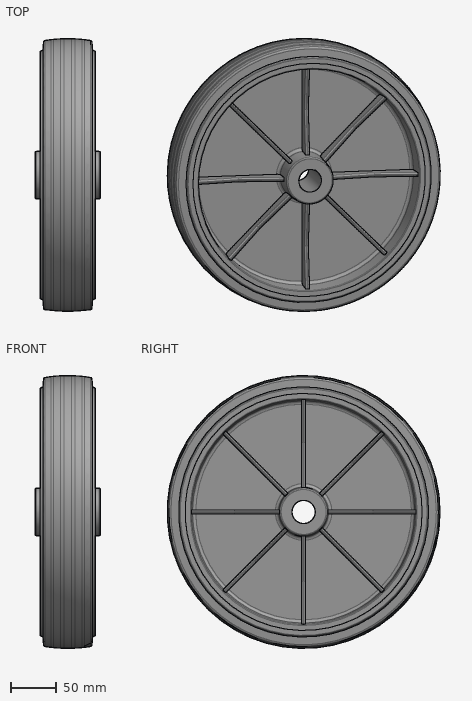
import cadquery as cq
import math


outer_radius = 150.5
hub_length = 72.0
tyre_bore_radius = 130.5
rim_width = 60.8

crown_radius = 156.5
tread_band_edges = [4.2, 7.8, 16.0, 18.7]
tyre_width = 53.5
tyre_corner_fillet = 2.5
side_foot_width = 54.8
lip_foot_radius = 137.8
lip_radius = 136.5
lip_fillet = 1.0

rim_inner_radius = 124.3
rim_root_radius = 122.2
web_thickness = 3.5
web_fillet = 3.5
rim_edge_fillet = 1.0

hub_radius = 26.2
hub_root_radius = 27.7
hub_edge_fillet = 1.5
bore_radius = 12.5

rib_count = 8
rib_thickness = 4.5
rib_ridge_fillet = 1.8
rib_waist_radius = 76.5
rib_waist_height = 16.2
rib_end_height = 23.5
rib_inner_radius = 24.0
rib_outer_radius = 125.8


def mirrored(half_profile):
    """Closed list of (x, radius) points: the half profile and its mirror image in X."""
    return half_profile + [(-x, r) for x, r in reversed(half_profile)]


def spin(sketch):
    """Revolve a sketch drawn as (x, radius) about the X axis."""
    return sketch.close().revolve(360, (0, 0, 0), (1, 0, 0))


def circles_near(body, x, radius):
    """Circular edges of a body at +x and -x with the given radius."""
    tolerance = 0.03
    edges = [
        edge
        for edge in body.edges("%CIRCLE").vals()
        if abs(edge.radius() - radius) < tolerance and abs(abs(edge.Center().x) - x) < tolerance
    ]
    return body.newObject(edges)


def tread_point(x):
    """Point on the crowned tread at distance x from the mid-plane."""
    return (x, outer_radius - crown_radius + math.sqrt(crown_radius**2 - x**2))


def make_tyre():
    half_width = tyre_width / 2
    half_rim = rim_width / 2
    half_foot = side_foot_width / 2

    band_edges = [-x for x in reversed(tread_band_edges)] + tread_band_edges + [half_width]
    sketch = cq.Workplane("XY").moveTo(*tread_point(-half_width))
    start = -half_width
    for end in band_edges:
        sketch = sketch.threePointArc(tread_point((start + end) / 2), tread_point(end))
        start = end

    side = [(half_foot, lip_foot_radius), (half_rim, lip_radius), (half_rim, tyre_bore_radius)]
    for point in mirrored(side):
        sketch = sketch.lineTo(*point)

    tyre = spin(sketch)
    tyre = circles_near(tyre, *tread_point(half_width)).fillet(tyre_corner_fillet)
    return circles_near(tyre, half_rim, lip_radius).fillet(lip_fillet)


def make_rib_pair():
    """Rib along +Y on both faces of the web, lowest at its waist."""
    ridge = [
        (rib_end_height, rib_inner_radius),
        (rib_waist_height, rib_waist_radius),
        (rib_end_height, rib_outer_radius),
    ]
    plate = cq.Workplane("XY").polyline(mirrored(ridge)).close()
    plate = plate.extrude(rib_thickness / 2, both=True)
    ridge_edges = plate.faces("<Z or >Z").edges("not |X")
    return ridge_edges.fillet(rib_ridge_fillet)


def make_wheel():
    half_rim = rim_width / 2
    half_web = web_thickness / 2
    half_hub = hub_length / 2

    half_profile = [
        (half_rim, tyre_bore_radius),
        (half_rim, rim_inner_radius),
        (half_web, rim_root_radius),
        (half_web, hub_root_radius),
        (half_hub, hub_radius),
        (half_hub, bore_radius),
    ]
    wheel = spin(cq.Workplane("XY").polyline(mirrored(half_profile)))
    wheel = circles_near(wheel, half_rim, rim_inner_radius).fillet(rim_edge_fillet)
    wheel = circles_near(wheel, half_web, rim_root_radius).fillet(web_fillet)
    wheel = circles_near(wheel, half_web, hub_root_radius).fillet(web_fillet)
    wheel = circles_near(wheel, half_hub, hub_radius).fillet(hub_edge_fillet)

    rib_pair = make_rib_pair()
    for i in range(rib_count):
        wheel = wheel.union(rib_pair.rotate((0, 0, 0), (1, 0, 0), i * 360 / rib_count))
    return wheel


tyre = make_tyre()
wheel = make_wheel()

result = cq.Compound.makeCompound([tyre.val(), *wheel.solids().vals()])